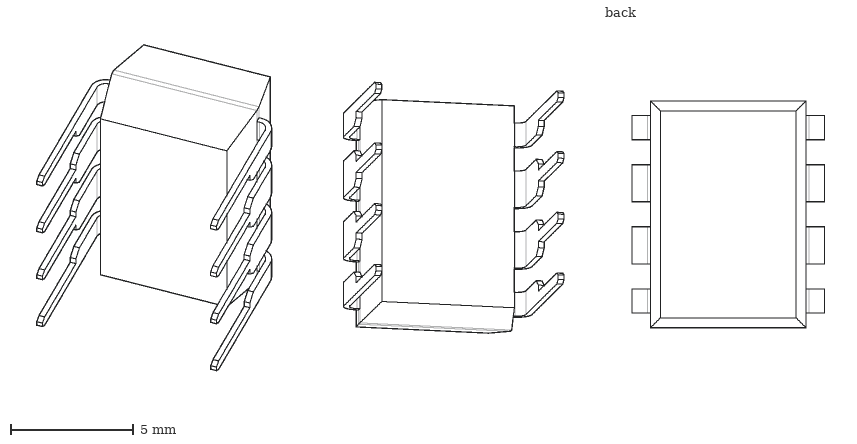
import cadquery as cq


housing_width = 6.36
housing_length = 9.27
housing_height = 4.94
end_inset = 0.41

lead_thickness = 0.25
lead_span = 7.87
lead_pitch = 2.54
leads_per_row = 4
inner_bend_radius = 0.38
tip_y = -6.67
shoulder_width = 1.53
shoulder_end_y = -2.87
shoulder_taper_length = 0.4
shoulder_taper_depth = 0.28
leg_width = 0.46
tip_width = 0.195
tip_length = 0.25

half_thickness = lead_thickness / 2
half_span = lead_span / 2
outer_bend_radius = inner_bend_radius + lead_thickness
bend_end_y = half_thickness - outer_bend_radius
bend_end_x = half_span - outer_bend_radius
half_shoulder = shoulder_width / 2
half_leg = leg_width / 2
half_tip = tip_width / 2
tip_start_y = tip_y + tip_length
taper_start_y = shoulder_end_y + shoulder_taper_length
taper_end_half_width = half_shoulder - shoulder_taper_depth


def tapered_half(direction):
    """Half of the housing, narrowing from the band toward +Y (1) or -Y (-1)."""
    taper_height = housing_height / 2 - half_thickness
    band_plane = cq.Plane(
        origin=(0, direction * half_thickness, 0), xDir=(1, 0, 0), normal=(0, direction, 0)
    )
    return (
        cq.Workplane(band_plane)
        .rect(housing_width, housing_length)
        .workplane(offset=taper_height)
        .rect(housing_width - 2 * end_inset, housing_length - 2 * end_inset)
        .loft(ruled=True)
    )


def make_housing():
    """Straight parting band, as thick as the leads, between two tapered halves."""
    band = cq.Workplane("XY").box(housing_width, lead_thickness, housing_length)
    return band.union(tapered_half(1)).union(tapered_half(-1))


def bent_strip():
    """Lead strip on the +X side: out from the housing, round the bend and down to the tip."""
    return (
        cq.Workplane("XY")
        .moveTo(housing_width / 2, half_thickness)
        .lineTo(bend_end_x, half_thickness)
        .radiusArc((half_span, bend_end_y), outer_bend_radius)
        .lineTo(half_span, tip_y)
        .lineTo(half_span - lead_thickness, tip_y)
        .lineTo(half_span - lead_thickness, bend_end_y)
        .radiusArc((bend_end_x, -half_thickness), -inner_bend_radius)
        .lineTo(housing_width / 2, -half_thickness)
        .close()
        .extrude(half_shoulder, both=True)
    )


def half_lead_edge(has_shoulder):
    """(Y, Z) points of one long edge of the flat lead, from its root to its tip."""
    leg_and_tip = [(tip_start_y, half_leg), (tip_y, half_tip)]
    if not has_shoulder:
        return [(half_thickness, half_leg)] + leg_and_tip
    return [
        (half_thickness, half_shoulder),
        (taper_start_y, half_shoulder),
        (shoulder_end_y, taper_end_half_width),
        (shoulder_end_y, half_leg),
    ] + leg_and_tip


def make_lead(shoulder_above, shoulder_below):
    """One lead of the +X row, centred on Z = 0, with a shoulder on the chosen edges."""
    upper_edge = half_lead_edge(shoulder_above)
    lower_edge = [(y, -z) for y, z in reversed(half_lead_edge(shoulder_below))]
    flat_outline = cq.Workplane("YZ").polyline(upper_edge + lower_edge).close().extrude(half_span)
    return bent_strip().intersect(flat_outline)


def make_leads():
    """Both rows; the end leads have no shoulder on the edge facing the housing ends."""
    leads = []
    for index in range(leads_per_row):
        is_bottom = index == 0
        is_top = index == leads_per_row - 1
        lead_z = (index - (leads_per_row - 1) / 2) * lead_pitch
        lead = make_lead(not is_top, not is_bottom).translate((0, 0, lead_z))
        leads.append(lead.solids().val())
        leads.append(lead.mirror("YZ").solids().val())
    return leads


housing = make_housing()
leads = make_leads()

result = cq.Compound.makeCompound([housing.solids().val(), *leads])